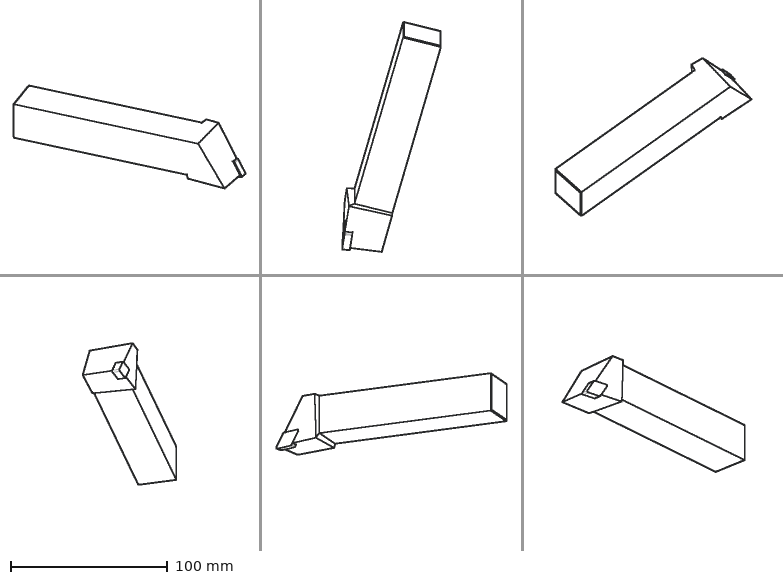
import cadquery as cq
import math

total_length = 150.0
shank_width = 25.0
back_chamfer = 0.6

shoulder_x = 119.9
shoulder_slope = 0.25
side_back_y = 29.9
side_fall_x = 0.107
side_fall_z = 0.05
front_angle = 58.0
bottom_angle = 3.0
clearance = 60.0

insert_side = 11.7
insert_thickness = 5.0
insert_corner_radius = 0.8
tip_z = -6.9
tip_rounding = 0.6
overhang_front = 2.0
overhang_bottom = 1.5

side_back_x = shoulder_x + shoulder_slope * (side_back_y - shank_width)
tip_x = total_length + tip_rounding
tip_y = side_back_y - side_fall_x * (tip_x - side_back_x) - side_fall_z * (shank_width - tip_z)

side_plane = cq.Plane(
    origin=(tip_x, tip_y, tip_z),
    xDir=(1, -side_fall_x, 0),
    normal=(-side_fall_x, -1, side_fall_z),
)


def along(start, length, angle):
    """Point at a distance and an angle in degrees from a start point."""
    turn = math.radians(angle)
    return (start[0] + length * math.cos(turn), start[1] + length * math.sin(turn))


def wedge_outline(direction, edge):
    """Trimming outline in front of a shoulder that leaves the shank at `edge`, going up or down."""
    reach = shoulder_slope * clearance
    return [
        (shoulder_x - reach, edge - direction * clearance),
        (shoulder_x + reach, edge + direction * clearance),
        (shoulder_x + clearance, edge + direction * clearance),
        (shoulder_x + clearance, edge - direction * clearance),
    ]


def insert_body():
    tip = (0, 0)
    upper = along(tip, insert_side, 180 - front_angle)
    rear = along(tip, insert_side, 180 - bottom_angle)
    inner = along(rear, insert_side, 180 - front_angle)
    return (
        cq.Workplane(side_plane)
        .polyline([tip, upper, inner, rear])
        .close()
        .extrude(insert_thickness)
        .edges(cq.selectors.ParallelDirSelector(side_plane.zDir))
        .fillet(insert_corner_radius)
    )


def shank_body():
    return (
        cq.Workplane("XY")
        .box(side_back_x, shank_width, shank_width, centered=False)
        .faces("<X")
        .chamfer(back_chamfer)
    )


def head_body():
    head_tip = (-overhang_front, overhang_bottom)
    upper = along(head_tip, clearance, 180 - front_angle)
    rear = along(head_tip, clearance, 180 - bottom_angle)
    inner = (rear[0], upper[1])
    prism = cq.Workplane(side_plane).polyline([head_tip, upper, inner, rear]).close().extrude(clearance)

    below_top = (
        cq.Workplane("XY")
        .workplane(offset=shank_width)
        .polyline(wedge_outline(1, shank_width))
        .close()
        .extrude(-clearance)
    )
    beside_flank = cq.Workplane("XZ").polyline(wedge_outline(-1, 0)).close().extrude(-clearance)
    return prism.intersect(below_top).intersect(beside_flank)


insert = insert_body()
holder = shank_body().union(head_body()).cut(insert)

result = cq.Compound.makeCompound([holder.val(), insert.val()])